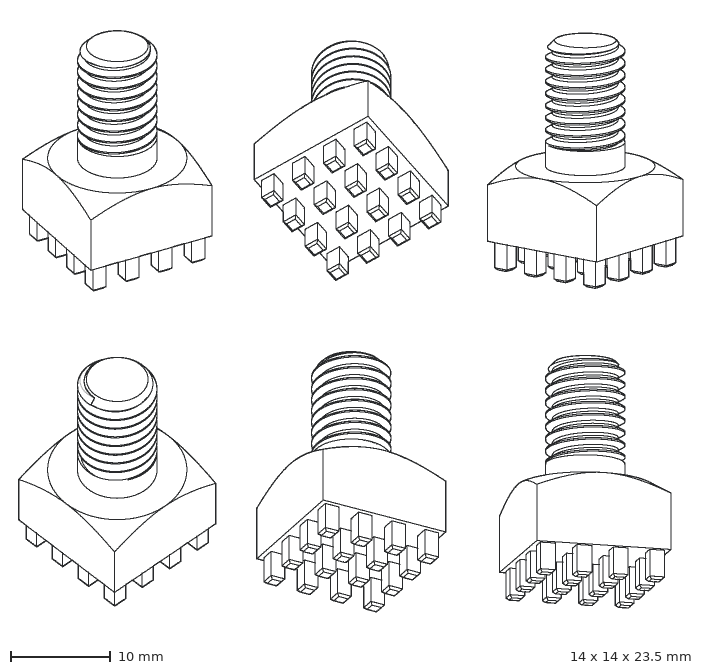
import cadquery as cq
import math

head_width = 14.0
head_height = 7.5
head_chamfer_angle = 30.0

pin_count = 4
pin_pitch = 3.8
pin_width = 1.55
pin_length = 3.0
pin_chamfer = 0.25

overall_height = 23.5
collar_length = 2.5
thread_diameter = 8.0
thread_pitch = 1.25
flank_angle = 30.0
tip_diameter = 6.2
groove_turns = 9
groove_end_angle = 183.5

strip_rise = 0.07
strip_sweep = 110.0

head_bottom = pin_length
head_top = head_bottom + head_height
collar_top = head_top + collar_length
tip_chamfer = (thread_diameter - tip_diameter) / 2

thread_radius = thread_diameter / 2
half_flank_slope = math.tan(math.radians(flank_angle))
crest_flat = thread_pitch / 8
root_flat = thread_pitch / 4
thread_depth = (thread_pitch - crest_flat - root_flat) / 2 / half_flank_slope
root_radius = thread_radius - thread_depth
groove_overcut = 0.1
blank_seam_angle = 300.0


def make_head():
    """Square block whose top corners are cut by a cone touching the middle of each side."""
    block = (
        cq.Workplane("XY")
        .workplane(offset=head_bottom)
        .rect(head_width, head_width)
        .extrude(head_height)
    )
    top_radius = head_width / 2
    base_radius = top_radius + head_height / math.tan(math.radians(head_chamfer_angle))
    cone = cq.Workplane(
        cq.Solid.makeCone(base_radius, top_radius, head_height, pnt=cq.Vector(0, 0, head_bottom))
    )
    return block.intersect(cone)


def make_pins():
    """Grid of square pins, chamfered around their lower ends."""
    return (
        cq.Workplane("XY")
        .rarray(pin_pitch, pin_pitch, pin_count, pin_count)
        .rect(pin_width, pin_width)
        .extrude(pin_length)
        .faces("<Z")
        .chamfer(pin_chamfer)
    )


def make_collar():
    """Plain cylinder between the head and the thread."""
    return cq.Workplane("XY").workplane(offset=head_top).circle(thread_radius).extrude(collar_length)


def make_groove():
    """Right-handed helical groove cutter, ending level with the tip of the shank."""
    groove_height = groove_turns * thread_pitch
    outer_radius = thread_radius + groove_overcut
    root_half = root_flat / 2
    outer_half = root_half + (outer_radius - root_radius) * half_flank_slope
    helix = cq.Workplane(cq.Wire.makeHelix(thread_pitch, groove_height, root_radius))
    groove = (
        cq.Workplane("XZ")
        .polyline([
            (root_radius, -root_half),
            (outer_radius, -outer_half),
            (outer_radius, outer_half),
            (root_radius, root_half),
        ])
        .close()
        .sweep(helix, isFrenet=True)
    )
    return (
        groove
        .rotate((0, 0, 0), (0, 0, 1), groove_end_angle)
        .translate((0, 0, overall_height - groove_height))
    )


def make_chamfer_strip():
    """Thin layer lying on the tip chamfer, from the thread root out to the crest."""
    chamfer_bottom = overall_height - tip_chamfer
    root_level = chamfer_bottom + thread_depth
    return (
        cq.Workplane("XZ")
        .polyline([
            (root_radius, root_level - strip_rise),
            (thread_radius, chamfer_bottom - strip_rise),
            (thread_radius, chamfer_bottom + strip_rise),
            (root_radius, root_level + strip_rise),
        ])
        .close()
        .revolve(strip_sweep, (0, 0, 0), (0, 1, 0))
        .rotate((0, 0, 0), (0, 0, 1), groove_end_angle - strip_sweep)
    )


def make_threaded_shank():
    """Cylinder with a 45 degree tip chamfer and the thread groove cut into it."""
    blank = (
        cq.Workplane("XY")
        .workplane(offset=collar_top)
        .circle(thread_radius)
        .extrude(overall_height - collar_top)
        .faces(">Z")
        .chamfer(tip_chamfer)
        .rotate((0, 0, 0), (0, 0, 1), blank_seam_angle)
    )
    return blank.union(make_chamfer_strip()).cut(make_groove())


result = make_head().union(make_pins()).union(make_collar()).union(make_threaded_shank())